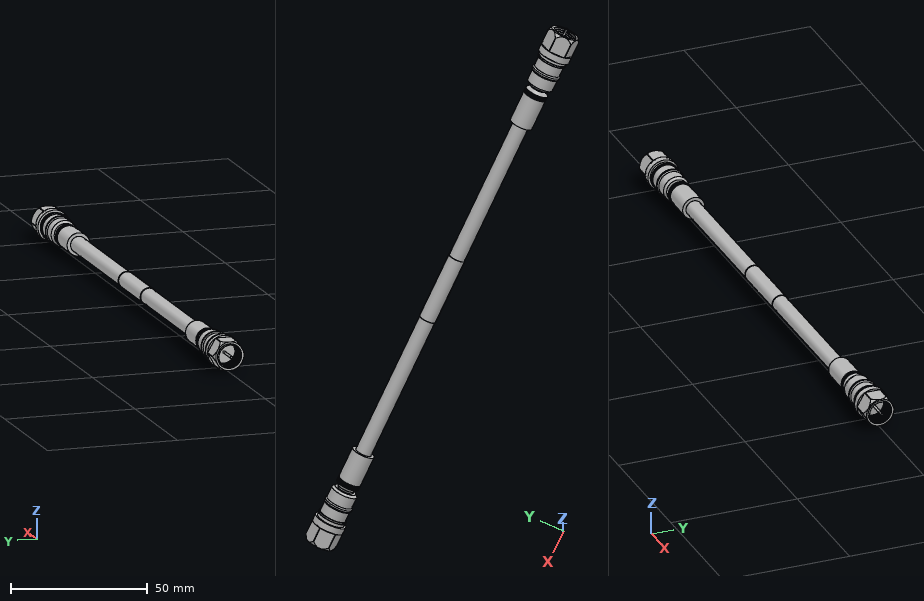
import cadquery as cq
import math


TOTAL_LENGTH = 220.5
HALF_LENGTH = TOTAL_LENGTH / 2

CABLE_RADIUS = 3.0
LABEL_RADIUS = 3.3
LABEL_LENGTH = 26.0

PIN_RADIUS = 0.5
PIN_PROTRUSION = 1.8

NUT_FLATS = 10.8
NUT_HEX_LENGTH = 7.3
NUT_FACE_RADIUS = NUT_FLATS / 2
NUT_CHAMFER_LENGTH = 1.5

THREAD_MINOR_RADIUS = 4.2
THREAD_MAJOR_RADIUS = 4.6
THREAD_PITCH = 0.77
THREAD_TURNS = 9

COLLAR_RADIUS = 6.2
COLLAR_LENGTH = 2.6
SHOULDER_RADIUS = 5.3
SHOULDER_LENGTH = 1.3
LIP_RADIUS = 5.5
LIP_LENGTH = 0.7

BARREL_RADIUS = 5.0
BARREL_LENGTH = 11.0
BARREL_CHAMFER = 0.9
RING_RADIUS = 5.5
RING_BASE_WIDTH = 1.8
RING_TOP_WIDTH = 0.7
RING_OFFSET = 4.9

NECK_RADIUS = CABLE_RADIUS
NECK_LENGTH = 0.7

SLEEVE_RADIUS = 4.5
SLEEVE_LENGTH = 15.2
SLEEVE_TAPER_LENGTH = 1.3

GROOVE_COUNT = 2
GROOVE_WIDTH = 0.5
GROOVE_PITCH = 0.9
GROOVE_DEPTH = 0.2

nut_face = PIN_PROTRUSION
collar_start = nut_face + NUT_HEX_LENGTH
collar_end = collar_start + COLLAR_LENGTH
lip_start = collar_end + SHOULDER_LENGTH
barrel_start = lip_start + LIP_LENGTH
ring_center = barrel_start + RING_OFFSET
barrel_end = barrel_start + BARREL_LENGTH
sleeve_start = barrel_end + NECK_LENGTH
bore_floor = nut_face + THREAD_TURNS * THREAD_PITCH
sleeve_end = sleeve_start + SLEEVE_LENGTH


def cylinder(start, end, radius):
    """Solid cylinder about X between two stations."""
    return cq.Workplane("YZ", origin=(start, 0, 0)).circle(radius).extrude(end - start)


def turned(profile):
    """Revolve a closed (station, radius) profile about X."""
    return cq.Workplane("XY").polyline(profile).close().revolve(360, (0, 0, 0), (1, 0, 0))


def place(body, mirrored):
    """Move a body from pin-tip stations to its end of the assembly."""
    moved = body.translate((-HALF_LENGTH, 0, 0))
    return moved.rotate((0, 0, 0), (0, 0, 1), 180) if mirrored else moved


def make_hexagon():
    """Hexagonal front of the nut, with its front corners chamfered by a cone."""
    corner_radius = NUT_FLATS / math.sqrt(3)
    hexagon = (
        cq.Workplane("YZ", origin=(nut_face, 0, 0))
        .polygon(6, 2 * corner_radius)
        .extrude(NUT_HEX_LENGTH)
    )
    envelope = turned([
        (nut_face, 0),
        (nut_face, NUT_FACE_RADIUS),
        (nut_face + NUT_CHAMFER_LENGTH, COLLAR_RADIUS),
        (collar_start, COLLAR_RADIUS),
        (collar_start, 0),
    ])
    return hexagon.intersect(envelope)


def make_threaded_bore():
    """Blind bore of the nut, with a zigzag wall for the thread rings."""
    profile = [(nut_face, 0), (nut_face, THREAD_MINOR_RADIUS)]
    for turn in range(THREAD_TURNS):
        turn_start = nut_face + turn * THREAD_PITCH
        profile.append((turn_start + THREAD_PITCH / 2, THREAD_MAJOR_RADIUS))
        profile.append((turn_start + THREAD_PITCH, THREAD_MINOR_RADIUS))
    profile.append((bore_floor, 0))
    return turned(profile)


def make_connector():
    """Nut, collar, shoulder, ringed barrel, neck and centre pin as one solid."""
    rear = turned([
        (collar_start, 0),
        (collar_start, COLLAR_RADIUS),
        (collar_end, COLLAR_RADIUS),
        (collar_end, SHOULDER_RADIUS),
        (lip_start, SHOULDER_RADIUS),
        (lip_start, LIP_RADIUS),
        (barrel_start, LIP_RADIUS),
        (barrel_start, BARREL_RADIUS),
        (ring_center - RING_BASE_WIDTH / 2, BARREL_RADIUS),
        (ring_center - RING_TOP_WIDTH / 2, RING_RADIUS),
        (ring_center + RING_TOP_WIDTH / 2, RING_RADIUS),
        (ring_center + RING_BASE_WIDTH / 2, BARREL_RADIUS),
        (barrel_end - BARREL_CHAMFER, BARREL_RADIUS),
        (barrel_end, BARREL_RADIUS - BARREL_CHAMFER),
        (barrel_end, NECK_RADIUS),
        (sleeve_start, NECK_RADIUS),
        (sleeve_start, 0),
    ])
    pin = cylinder(0, bore_floor, PIN_RADIUS)
    return make_hexagon().union(rear).cut(make_threaded_bore()).union(pin)


def make_sleeve():
    """Heat-shrink sleeve over the cable end, tapered towards the connector."""
    taper_end = sleeve_start + SLEEVE_TAPER_LENGTH
    sleeve = turned([
        (sleeve_start, CABLE_RADIUS),
        (taper_end, SLEEVE_RADIUS),
        (sleeve_end, SLEEVE_RADIUS),
        (sleeve_end, CABLE_RADIUS),
    ])
    for index in range(GROOVE_COUNT):
        groove_start = taper_end + GROOVE_WIDTH + index * GROOVE_PITCH
        groove_end = groove_start + GROOVE_WIDTH
        floor = cylinder(groove_start, groove_end, SLEEVE_RADIUS - GROOVE_DEPTH)
        sleeve = sleeve.cut(cylinder(groove_start, groove_end, SLEEVE_RADIUS).cut(floor))
    return sleeve


def make_cable():
    """Round cable running between the two connector necks."""
    cable_end = HALF_LENGTH - sleeve_start
    return cylinder(-cable_end, cable_end, CABLE_RADIUS)


def make_label():
    """Thin tube around the middle of the cable."""
    outer = cylinder(-LABEL_LENGTH / 2, LABEL_LENGTH / 2, LABEL_RADIUS)
    return outer.cut(cylinder(-LABEL_LENGTH / 2, LABEL_LENGTH / 2, CABLE_RADIUS))


connectors = []
sleeves = []
for mirrored in (False, True):
    connectors.append(place(make_connector(), mirrored).val())
    sleeves.append(place(make_sleeve(), mirrored).val())

cable = make_cable()
label = make_label()

result = cq.Compound.makeCompound([cable.val(), label.val(), *connectors, *sleeves])